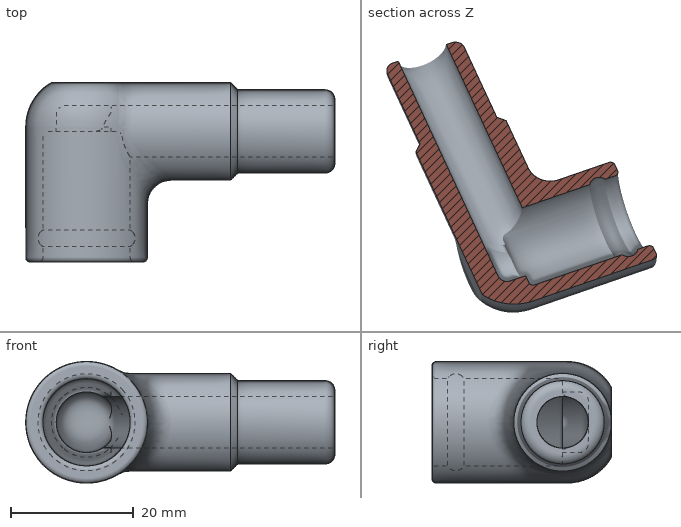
import cadquery as cq
import math

BARREL_RADIUS = 9.905
BARREL_LENGTH = 29.21
DOME_HEIGHT = 7.27
DOME_ROUND = 8.38
MOUTH_ROUND = 0.76

ARM_RADIUS = 7.95
ARM_TIP_RADIUS = 6.78
ARM_SHOULDER_X = 24.6
ARM_END_X = 40.415
ARM_TIP_ROUND = 1.6
ARM_AXIS_Y = BARREL_LENGTH - ARM_RADIUS
BLEND_RADIUS = 3.81

SOCKET_RADIUS = 7.1
SOCKET_FLOOR_Y = ARM_AXIS_Y
SOCKET_FLOOR_ROUND = 0.76
GROOVE_START_Y = 2.53
GROOVE_END_Y = 5.2
GROOVE_DEPTH = 0.8
POCKET_RADIUS = 4.93
POCKET_FLOOR_ROUND = 1.52

PASSAGE_RADIUS = 4.19
PASSAGE_EDGE_ROUND = POCKET_RADIUS - PASSAGE_RADIUS
POCKET_FLOOR_Y = SOCKET_FLOOR_Y + PASSAGE_RADIUS


def revolve_about_y(outline):
    return outline.close().revolve(360, (0, 0, 0), (0, 1, 0))


def make_barrel():
    """Solid barrel with a fully rounded closed end, longer than the finished part."""
    full_length = BARREL_LENGTH - DOME_HEIGHT + DOME_ROUND
    barrel = cq.Workplane("XZ").circle(BARREL_RADIUS).extrude(-full_length)
    return barrel.faces(">Y").edges().fillet(DOME_ROUND)


def make_arm():
    """Stepped arm with a conical shoulder and a rounded tip."""
    shoulder_length = ARM_RADIUS - ARM_TIP_RADIUS
    arm = (
        cq.Workplane("XY")
        .lineTo(0, ARM_RADIUS)
        .lineTo(ARM_SHOULDER_X - shoulder_length, ARM_RADIUS)
        .lineTo(ARM_SHOULDER_X, ARM_TIP_RADIUS)
        .lineTo(ARM_END_X, ARM_TIP_RADIUS)
        .lineTo(ARM_END_X, 0)
        .close()
        .revolve(360, (0, 0, 0), (1, 0, 0))
    )
    return arm.faces(">X").edges().fillet(ARM_TIP_ROUND).translate((0, ARM_AXIS_Y, 0))


def make_body():
    """Barrel and arm blended along their seam, with the dome cut flat and the mouth rim rounded."""
    seam_box = cq.selectors.BoxSelector(
        (ARM_RADIUS / 2, ARM_AXIS_Y - BARREL_RADIUS, -BARREL_RADIUS),
        (2 * BARREL_RADIUS, ARM_AXIS_Y + BARREL_RADIUS, BARREL_RADIUS),
        boundingbox=True,
    )
    body = make_barrel().union(make_arm())
    body = body.edges(seam_box).fillet(BLEND_RADIUS)
    body = body.faces("<Y").edges().fillet(MOUTH_ROUND)
    dome_tip = (
        cq.Workplane("XZ", origin=(0, BARREL_LENGTH, 0))
        .rect(2 * BARREL_RADIUS, 2 * BARREL_RADIUS)
        .extrude(-BARREL_RADIUS)
    )
    return body.cut(dome_tip)


def make_socket():
    """Round socket with a rounded rim, an O-ring groove and a rounded floor corner."""
    rim_radius = SOCKET_RADIUS + MOUTH_ROUND
    floor_radius = SOCKET_RADIUS - SOCKET_FLOOR_ROUND
    groove_bottom = (SOCKET_RADIUS + GROOVE_DEPTH, (GROOVE_START_Y + GROOVE_END_Y) / 2)
    outline = (
        cq.Workplane("XY")
        .lineTo(rim_radius, 0)
        .radiusArc((SOCKET_RADIUS, MOUTH_ROUND), MOUTH_ROUND)
        .lineTo(SOCKET_RADIUS, GROOVE_START_Y)
        .threePointArc(groove_bottom, (SOCKET_RADIUS, GROOVE_END_Y))
        .lineTo(SOCKET_RADIUS, SOCKET_FLOOR_Y - SOCKET_FLOOR_ROUND)
        .radiusArc((floor_radius, SOCKET_FLOOR_Y), -SOCKET_FLOOR_ROUND)
        .lineTo(0, SOCKET_FLOOR_Y)
    )
    return revolve_about_y(outline)


def make_pocket():
    """Shallow round pocket in the socket floor, with a rounded bottom corner."""
    depth = POCKET_FLOOR_Y - SOCKET_FLOOR_Y
    pocket = cq.Workplane("XZ", origin=(0, SOCKET_FLOOR_Y, 0)).circle(POCKET_RADIUS).extrude(-depth)
    return pocket.faces(">Y").edges().fillet(POCKET_FLOOR_ROUND)


def make_passage():
    """Round passage from the barrel axis out through the tip of the arm."""
    return cq.Workplane("YZ", origin=(0, ARM_AXIS_Y, 0)).circle(PASSAGE_RADIUS).extrude(ARM_END_X)


def make_passage_edge_rounds():
    """Convex rounds where the passage breaks through the flat socket floor."""
    flat_floor_radius = SOCKET_RADIUS - SOCKET_FLOOR_ROUND
    outer_z = PASSAGE_RADIUS + PASSAGE_EDGE_ROUND
    length = math.sqrt(flat_floor_radius**2 - outer_z**2)
    bottom_y = SOCKET_FLOOR_Y + PASSAGE_EDGE_ROUND
    return (
        cq.Workplane("YZ")
        .moveTo(SOCKET_FLOOR_Y, -outer_z)
        .radiusArc((bottom_y, -PASSAGE_RADIUS), PASSAGE_EDGE_ROUND)
        .lineTo(bottom_y, PASSAGE_RADIUS)
        .radiusArc((SOCKET_FLOOR_Y, outer_z), PASSAGE_EDGE_ROUND)
        .close()
        .extrude(length)
    )


result = (
    make_body()
    .cut(make_socket())
    .cut(make_pocket())
    .cut(make_passage())
    .cut(make_passage_edge_rounds())
)